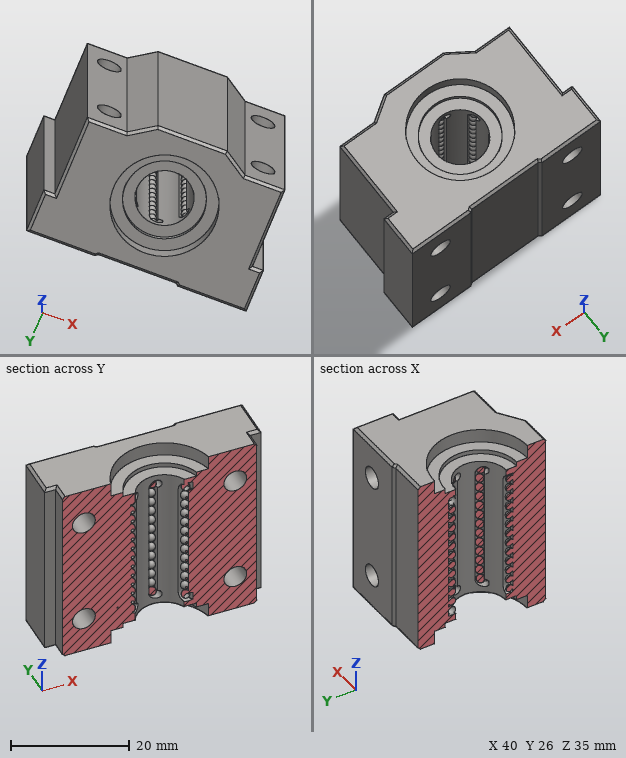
import cadquery as cq
import math

LENGTH = 35.0
FLANGE_WIDTH = 40.0
FLANGE_THICKNESS = 8.0
BODY_WIDTH = 36.0
DEPTH = 26.0
EDGE_CHAMFER = 0.5

LAND_HEIGHT = 3.0
LAND_TOP_WIDTH = 12.6
LAND_BASE_WIDTH = 21.5

RELIEF_DEPTH = 0.4
RELIEF_TOP_WIDTH = 15.1
RELIEF_FLOOR_WIDTH = 14.1

HOLE_SPACING_X = 28.0
HOLE_SPACING_Z = 21.0
HOLE_DIAMETER = 4.3
TAP_DIAMETER = 4.13
TAP_LENGTH = 12.0

SEAT_DIAMETER = 18.5
SEAT_DEPTH = 2.65
RECESS_DIAMETER = 14.2
RECESS_DEPTH = 0.85
BORE_DIAMETER = 10.0

TRACK_COUNT = 6
FIRST_TRACK_ANGLE = 30.0
TRACK_WIDTH = 1.58
TRACK_END_GAP = 1.1
BALL_DIAMETER = 1.5
BALL_PITCH = 1.97
ROW_BALL_COUNT = 11
BALL_SEATING = 0.1

half_length = LENGTH / 2
front_y = -DEPTH / 2
back_y = DEPTH / 2
bore_radius = BORE_DIAMETER / 2
bore_half_length = half_length - SEAT_DEPTH - RECESS_DEPTH
ball_radius = BALL_DIAMETER / 2
ball_circle_radius = bore_radius + ball_radius
track_floor_radius = ball_circle_radius + ball_radius - BALL_SEATING
track_half_width = TRACK_WIDTH / 2
bend_start_z = bore_half_length - TRACK_END_GAP - TRACK_WIDTH


def make_block():
    """Extrude the stepped outline and chamfer the edges of both end faces."""
    shoulder_y = front_y + LAND_HEIGHT
    flange_y = back_y - FLANGE_THICKNESS
    relief_y = back_y - RELIEF_DEPTH
    right_side = [
        (LAND_TOP_WIDTH / 2, front_y),
        (LAND_BASE_WIDTH / 2, shoulder_y),
        (BODY_WIDTH / 2, shoulder_y),
        (BODY_WIDTH / 2, flange_y),
        (FLANGE_WIDTH / 2, flange_y),
        (FLANGE_WIDTH / 2, back_y),
        (RELIEF_TOP_WIDTH / 2, back_y),
        (RELIEF_FLOOR_WIDTH / 2, relief_y),
    ]
    left_side = [(-x, y) for x, y in reversed(right_side)]
    block = cq.Workplane("XY").workplane(offset=-half_length)
    block = block.polyline(right_side + left_side).close().extrude(LENGTH)
    return block.faces("|Z").chamfer(EDGE_CHAMFER)


def make_mounting_holes():
    """Four stepped holes through the full depth of the block."""
    def cylinders(diameter, start_y, length):
        return (
            cq.Workplane("XZ", origin=(0, start_y, 0))
            .rarray(HOLE_SPACING_X, HOLE_SPACING_Z, 2, 2)
            .circle(diameter / 2)
            .extrude(length)
        )

    tapped_part = cylinders(TAP_DIAMETER, back_y, TAP_LENGTH)
    clear_part = cylinders(HOLE_DIAMETER, back_y - TAP_LENGTH, DEPTH - TAP_LENGTH)
    return tapped_part.union(clear_part)


def make_bore():
    """Through bore, widened at both ends by a recess and a bearing seat."""
    def cylinder(diameter, cylinder_half_length):
        return cq.Workplane("XY").circle(diameter / 2).extrude(cylinder_half_length, both=True)

    bore = cylinder(BORE_DIAMETER, half_length)
    steps = [
        (RECESS_DIAMETER, bore_half_length),
        (SEAT_DIAMETER, half_length - SEAT_DEPTH),
    ]
    for diameter, start_z in steps:
        core = cylinder(diameter, start_z)
        bore = bore.union(cylinder(diameter, half_length).cut(core))
    return bore


def make_track():
    """Slot along +X with a quarter-round bend and a round nose toward -Y at each end."""
    nose_top_z = bend_start_z + TRACK_WIDTH
    nose_z = bend_start_z + track_half_width
    bend_reach = TRACK_WIDTH * math.sqrt(0.5)
    bend_mid = (bend_reach - track_half_width, bend_start_z + bend_reach)
    nose_mid = (-TRACK_WIDTH, nose_z)
    return (
        cq.Workplane("YZ")
        .moveTo(track_half_width, -bend_start_z)
        .lineTo(track_half_width, bend_start_z)
        .threePointArc(bend_mid, (-track_half_width, nose_top_z))
        .threePointArc(nose_mid, (-track_half_width, bend_start_z))
        .lineTo(-track_half_width, -bend_start_z)
        .threePointArc((nose_mid[0], -nose_z), (-track_half_width, -nose_top_z))
        .threePointArc((bend_mid[0], -bend_mid[1]), (track_half_width, -bend_start_z))
        .close()
        .extrude(track_floor_radius)
    )


def ball_centres():
    """Ball centres (Y, Z) of the track along +X: a straight row and one ball in each bend."""
    row_half_length = (ROW_BALL_COUNT - 1) * BALL_PITCH / 2
    centres = [(0, i * BALL_PITCH - row_half_length) for i in range(ROW_BALL_COUNT)]
    bend_angle = (BALL_PITCH - (bend_start_z - row_half_length)) / track_half_width
    bend_y = track_half_width * (math.cos(bend_angle) - 1)
    bend_z = bend_start_z + track_half_width * math.sin(bend_angle)
    return centres + [(bend_y, bend_z), (bend_y, -bend_z)]


def turned(shape, index):
    """Turn a shape about the bearing axis to the position of the given track."""
    angle = FIRST_TRACK_ANGLE + index * 360 / TRACK_COUNT
    return shape.rotate((0, 0, 0), (0, 0, 1), angle)


result = make_block().cut(make_mounting_holes()).cut(make_bore())

track = make_track()
for track_index in range(TRACK_COUNT):
    result = result.cut(turned(track, track_index))

row_of_balls = [
    cq.Workplane("XY").sphere(ball_radius).translate((ball_circle_radius, y, z))
    for y, z in ball_centres()
]
for track_index in range(TRACK_COUNT):
    for ball in row_of_balls:
        result = result.union(turned(ball, track_index))